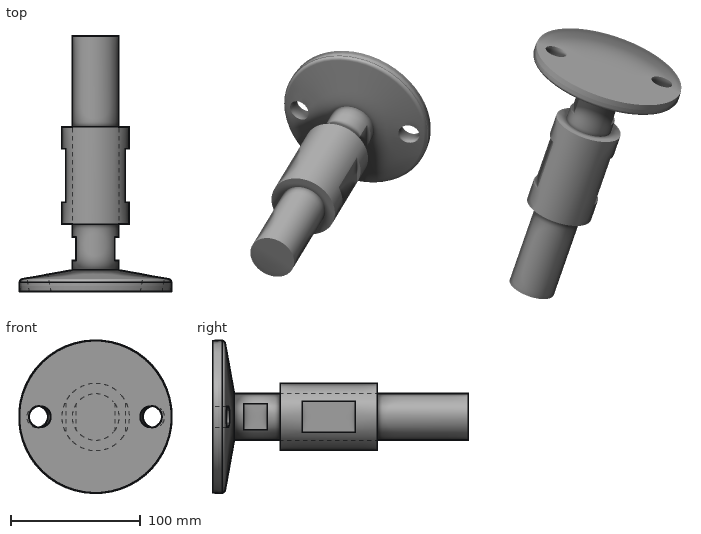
import cadquery as cq
import math

TOTAL_LENGTH = 197.0

PLATE_DIAMETER = 117.98
PLATE_BOTTOM_RADIUS = 58.6
TAPER_HEIGHT = 4.2
RIM_TOP = 7.2
SHOULDER_RADIUS = PLATE_BOTTOM_RADIUS
SHOULDER_FILLET = 2.6
CONE_ANGLE = 10.2

HOLE_DIAMETER = 16.5
HOLE_BASE_OFFSET = 42.75
HOLE_CUT_REACH = 30.0

STEM_DIAMETER = 36.0
STEM_FLATS_WIDTH = 30.0
STEM_FLATS_START = 24.0
STEM_FLATS_LENGTH = 18.0

SLEEVE_DIAMETER = 52.0
SLEEVE_START = 52.0
SLEEVE_LENGTH = 75.0
SLEEVE_FLATS_WIDTH = 46.0
SLEEVE_FLATS_LENGTH = 41.0
SLEEVE_FLATS_START = SLEEVE_START + (SLEEVE_LENGTH - SLEEVE_FLATS_LENGTH) / 2


def rod(diameter, start, length):
    """Round bar along +Y from Y = start."""
    plane = cq.Workplane("XZ", origin=(0, start, 0))
    return plane.circle(diameter / 2).extrude(-length)


def wrench_flats(diameter, across_flats, start, length):
    """Pair of cutter slabs that leave parallel flats facing -X and +X on a round bar."""
    centre = (0, start + length / 2, 0)
    block = cq.Workplane("XY").box(diameter, length, diameter).translate(centre)
    core = cq.Workplane("XY").box(across_flats, length, diameter).translate(centre)
    return block.cut(core)


def foot_plate():
    """Round plate with a tapered lower edge, a plain rim, a rounded shoulder and a conical top."""
    rim_radius = PLATE_DIAMETER / 2
    stem_radius = STEM_DIAMETER / 2
    slope = math.radians(CONE_ANGLE)

    arc_centre_x = SHOULDER_RADIUS - SHOULDER_FILLET
    middle_angle = (math.pi / 2 - slope) / 2
    end_angle = math.pi / 2 - slope
    arc_middle = (
        arc_centre_x + SHOULDER_FILLET * math.cos(middle_angle),
        RIM_TOP + SHOULDER_FILLET * math.sin(middle_angle),
    )
    arc_end = (
        arc_centre_x + SHOULDER_FILLET * math.cos(end_angle),
        RIM_TOP + SHOULDER_FILLET * math.sin(end_angle),
    )
    cone_top = arc_end[1] + (arc_end[0] - stem_radius) * math.tan(slope)

    profile = (
        cq.Workplane("XY")
        .lineTo(PLATE_BOTTOM_RADIUS, 0)
        .lineTo(rim_radius, TAPER_HEIGHT)
        .lineTo(rim_radius, RIM_TOP)
        .lineTo(SHOULDER_RADIUS, RIM_TOP)
        .threePointArc(arc_middle, arc_end)
        .lineTo(stem_radius, cone_top)
        .lineTo(0, cone_top)
        .close()
    )
    return profile.revolve(360, (0, 0, 0), (0, 1, 0))


def mounting_hole(side):
    """Cutter on the -X (side = -1) or +X (side = 1) half, leaning outward as it rises."""
    slope = math.radians(CONE_ANGLE)
    direction = cq.Vector(side * math.sin(slope), math.cos(slope), 0)
    start = cq.Vector(side * HOLE_BASE_OFFSET, 0, 0) - direction * HOLE_CUT_REACH
    return cq.Solid.makeCylinder(HOLE_DIAMETER / 2, 2 * HOLE_CUT_REACH, start, direction)


def make_foot():
    """Foot plate and its long stem in one piece."""
    stem = rod(STEM_DIAMETER, 0, TOTAL_LENGTH)
    stem = stem.cut(wrench_flats(STEM_DIAMETER, STEM_FLATS_WIDTH, STEM_FLATS_START, STEM_FLATS_LENGTH))
    foot = foot_plate().union(stem)
    for side in (-1, 1):
        foot = foot.cut(cq.Workplane(mounting_hole(side)))
    return foot


def make_sleeve():
    """Sleeve around the stem, with a pair of wrench flats."""
    sleeve = rod(SLEEVE_DIAMETER, SLEEVE_START, SLEEVE_LENGTH)
    sleeve = sleeve.cut(
        wrench_flats(SLEEVE_DIAMETER, SLEEVE_FLATS_WIDTH, SLEEVE_FLATS_START, SLEEVE_FLATS_LENGTH)
    )
    return sleeve.cut(rod(STEM_DIAMETER, SLEEVE_START, SLEEVE_LENGTH))


foot = make_foot()
sleeve = make_sleeve()

result = cq.Compound.makeCompound([foot.val(), sleeve.val()])